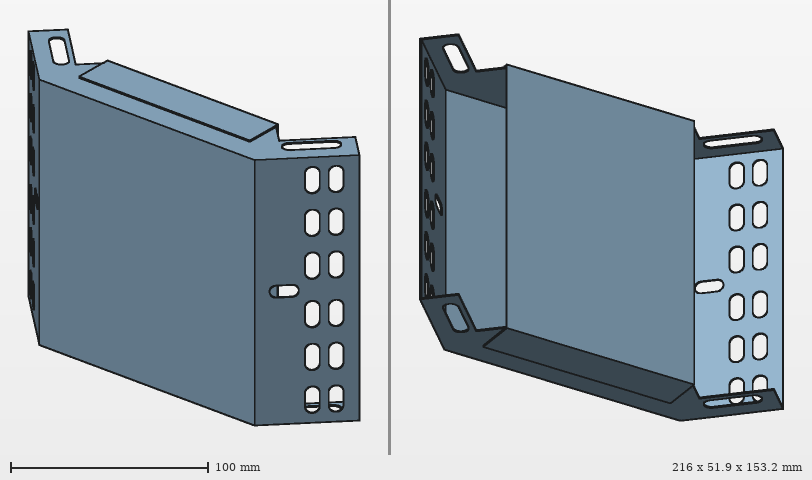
import cadquery as cq
import math

SHEET = 0.8
TOTAL_WIDTH = 216.0
TOTAL_HEIGHT = 153.2
TRAY_HEIGHT = TOTAL_HEIGHT - 2 * SHEET
FRONT_WIDTH = 140.5
WING_ANGLE = 45.0
HALF_FRONT = FRONT_WIDTH / 2
ALONG = math.cos(math.radians(WING_ANGLE))
BACK = math.sin(math.radians(WING_ANGLE))
WING_LENGTH = (TOTAL_WIDTH / 2 - HALF_FRONT) / ALONG

WING_FLANGE = 20.0
NOTCH_ALONG = 14.7
COVER_BACK = 37.0
MIDDLE_FLANGE = COVER_BACK - SHEET

FLANGE_SLOT_LENGTH = 30.2
FLANGE_SLOT_WIDTH = 8.0
FLANGE_SLOT_ALONG = 30.5
FLANGE_SLOT_DEPTH = 13.2

WING_SLOT_LENGTH = 15.1
WING_SLOT_WIDTH = 7.5
COLUMN_PITCH = 12.0
OUTER_COLUMN_FROM_TIP = 11.9
OUTER_COLUMN = WING_LENGTH - OUTER_COLUMN_FROM_TIP
WING_COLUMNS = [OUTER_COLUMN - COLUMN_PITCH, OUTER_COLUMN]
FIRST_ROW = 13.8
ROW_PITCH = 24.5
ROWS_PER_HALF = 3

BEND_SLOT_LENGTH = 15.0
BEND_SLOT_WIDTH = 7.0
BEND_SLOT_ALONG = 15.1

COVER_WIDTH = 111.5
COVER_FLANGE = 23.0


def wing_point(along, depth):
    """Plan position on the +X wing: distance from the bend, and behind the outer face."""
    return (HALF_FRONT + along * ALONG - depth * BACK, along * BACK + depth * ALONG)


def mirrored_plan(right_points):
    """Closed outline symmetric about X = 0, from its +X half listed front to back."""
    left_points = [(-x, y) for x, y in reversed(right_points)]
    return cq.Workplane("XY").polyline(right_points + left_points).close()


def flange_plate():
    """Flat flange for one end of the tray, notched at each bend and slotted on each wing."""
    notch = wing_point(NOTCH_ALONG, WING_FLANGE)
    rise = MIDDLE_FLANGE - notch[1]
    notch_top = (notch[0] - rise * BACK / ALONG, MIDDLE_FLANGE)
    outline = mirrored_plan([
        (HALF_FRONT, 0),
        wing_point(WING_LENGTH, 0),
        wing_point(WING_LENGTH, WING_FLANGE),
        notch,
        notch_top,
    ])
    plate = outline.extrude(SHEET)
    x, y = wing_point(FLANGE_SLOT_ALONG, FLANGE_SLOT_DEPTH)
    for side in (-1, 1):
        slot = (
            cq.Workplane("XY")
            .center(side * x, y)
            .slot2D(FLANGE_SLOT_LENGTH, FLANGE_SLOT_WIDTH, side * WING_ANGLE)
            .extrude(SHEET)
        )
        plate = plate.cut(slot)
    return plate


def bent_wall():
    """Front plate and both wings, full tray height."""
    inner_bend_shift = SHEET * math.tan(math.radians(WING_ANGLE / 2))
    outline = mirrored_plan([
        (HALF_FRONT, 0),
        wing_point(WING_LENGTH, 0),
        wing_point(WING_LENGTH, SHEET),
        (HALF_FRONT - inner_bend_shift, SHEET),
    ])
    return outline.extrude(TRAY_HEIGHT).translate((0, 0, -TRAY_HEIGHT / 2))


def wing_cutters(side):
    """Slot cutters on the outer face of one wing, piercing only the wall."""
    face = cq.Plane(
        origin=(side * HALF_FRONT, 0, 0),
        xDir=(side * ALONG, BACK, 0),
        normal=(side * BACK, -ALONG, 0),
    )
    rows = [FIRST_ROW + i * ROW_PITCH for i in range(ROWS_PER_HALF)]
    centres = [(along, end * row) for along in WING_COLUMNS for row in rows for end in (-1, 1)]
    upright = (
        cq.Workplane(face)
        .pushPoints(centres)
        .slot2D(WING_SLOT_LENGTH, WING_SLOT_WIDTH, 90)
        .extrude(SHEET, both=True)
    )
    lengthwise = (
        cq.Workplane(face)
        .center(BEND_SLOT_ALONG, 0)
        .slot2D(BEND_SLOT_LENGTH, BEND_SLOT_WIDTH)
        .extrude(SHEET, both=True)
    )
    return upright.add(lengthwise).combine()


def make_tray():
    plate = flange_plate()
    tray = bent_wall()
    tray = tray.union(plate.translate((0, 0, TRAY_HEIGHT / 2 - SHEET)))
    tray = tray.union(plate.translate((0, 0, -TRAY_HEIGHT / 2)))
    for side in (-1, 1):
        tray = tray.cut(wing_cutters(side))
    return tray


def make_cover():
    """Channel whose back plate rests on the tray's flange edges."""
    block = cq.Workplane("XY").box(COVER_WIDTH, COVER_FLANGE, TOTAL_HEIGHT)
    hollow = cq.Workplane("XY").box(COVER_WIDTH, COVER_FLANGE, TRAY_HEIGHT)
    channel = block.cut(hollow.translate((0, -SHEET, 0)))
    return channel.translate((0, COVER_BACK - COVER_FLANGE / 2, 0))


tray = make_tray()
cover = make_cover()
result = cq.Compound.makeCompound([tray.val(), cover.val()])